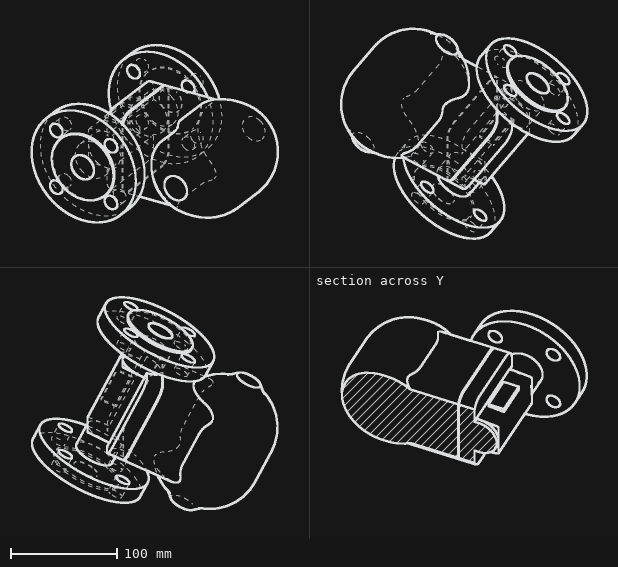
import cadquery as cq
import math

face_to_face = 160.0
pipe_diameter = 38.0
flange_diameter = 115.0
flange_thickness = 16.0
raised_face_diameter = 68.0
raised_face_height = 2.0
port_diameter = 25.0
port_depth = 0.5
bolt_circle_diameter = 85.0
bolt_hole_diameter = 14.0
bolt_count = 4

block_width = 75.0
block_end_height = 35.0
block_root_height = 39.0
block_edge_radius = 2.0

pad_length = 16.0
pad_width = 34.0
pad_center_x = -7.0
pad_top_z = 21.5

neck_start_x = 4.0
neck_size = 85.0
neck_corner_radius = 12.5
joint_x = 20.5
joint_width = 0.5
joint_depth = 1.0

housing_center_x = 97.0
housing_radius = 48.5
housing_straight_length = 35.0
housing_band_width = 5.0

boss_span = 141.5
boss_tip_diameter = 25.0
boss_half_angle = 45.0
boss_height = 20.0

block_end_x = -pipe_diameter / 2
flange_face_y = face_to_face / 2 - raised_face_height
flange_back_y = flange_face_y - flange_thickness
neck_end_x = housing_center_x - housing_band_width / 2
housing_end_y = housing_straight_length / 2 + housing_radius


def cylinder_along_y(diameter, start_y, length, x=0.0, z=0.0):
    """Cylinder parallel to Y, growing from start_y towards +Y."""
    plane = cq.Plane(origin=(x, start_y, z), xDir=(1, 0, 0), normal=(0, 1, 0))
    return cq.Workplane(plane).circle(diameter / 2).extrude(length)


def square_bar_along_x(start_x, end_x, size, corner_radius):
    """Square bar along X with rounded long edges."""
    bar = cq.Workplane("YZ", origin=(start_x, 0, 0)).rect(size, size).extrude(end_x - start_x)
    return bar.edges("|X").fillet(corner_radius)


def mirrored_pair(shape):
    """The shape together with its mirror image across the XZ plane."""
    return shape.union(shape.mirror("XZ"))


def make_flange():
    """Flange on the +Y side with raised face, shallow port and bolt holes."""
    flange = cylinder_along_y(flange_diameter, flange_back_y, flange_thickness)
    flange = flange.union(cylinder_along_y(raised_face_diameter, flange_face_y, raised_face_height))
    flange = flange.cut(cylinder_along_y(port_diameter, face_to_face / 2 - port_depth, port_depth))
    for index in range(bolt_count):
        angle = 2 * math.pi * (index + 0.5) / bolt_count
        hole_x = bolt_circle_diameter / 2 * math.cos(angle)
        hole_z = bolt_circle_diameter / 2 * math.sin(angle)
        hole = cylinder_along_y(bolt_hole_diameter, flange_back_y, flange_thickness, hole_x, hole_z)
        flange = flange.cut(hole)
    return flange


def make_pipe():
    """Straight pipe between the backs of the two flanges."""
    return cylinder_along_y(pipe_diameter, -flange_back_y, 2 * flange_back_y)


def make_block():
    """Block whose top and bottom spread slightly from the free end to the neck."""
    profile = [
        (block_end_x, -block_end_height / 2),
        (neck_start_x, -block_root_height / 2),
        (neck_start_x, block_root_height / 2),
        (block_end_x, block_end_height / 2),
    ]
    block = cq.Workplane("XZ").polyline(profile).close().extrude(block_width / 2, both=True)
    return block.faces("<X").edges("|Y").fillet(block_edge_radius)


def make_pad():
    """Flat rectangular pad, rooted at the pipe axis and standing out of the block's top."""
    pad = cq.Workplane("XY").center(pad_center_x, 0).rect(pad_length, pad_width)
    return pad.extrude(pad_top_z)


def make_neck():
    """Square neck with a narrow joint groove around it."""
    neck = square_bar_along_x(neck_start_x, neck_end_x, neck_size, neck_corner_radius)
    joint_end_x = joint_x + joint_width
    joint_outer = square_bar_along_x(joint_x, joint_end_x, neck_size, neck_corner_radius)
    joint_core = square_bar_along_x(
        joint_x, joint_end_x, neck_size - 2 * joint_depth, neck_corner_radius - joint_depth
    )
    return neck.cut(joint_outer.cut(joint_core))


def make_half_capsule(side):
    """Half of a domed capsule along Y, lying on the -X (side=-1) or +X (side=1) of the band."""
    straight_half = housing_straight_length / 2
    upper_outline = (
        cq.Workplane("YZ", origin=(housing_center_x + side * housing_band_width / 2, 0, 0))
        .moveTo(-housing_end_y, 0)
        .radiusArc((-straight_half, housing_radius), housing_radius)
        .lineTo(straight_half, housing_radius)
        .radiusArc((housing_end_y, 0), housing_radius)
        .close()
    )
    return upper_outline.revolve(180, (0, 0, 0), (side, 0, 0))


def make_housing_band():
    """Straight stretch between the two capsule halves, with the same stadium-shaped section."""
    band = cq.Workplane("YZ", origin=(neck_end_x, 0, 0))
    band = band.slot2D(2 * housing_end_y, 2 * housing_radius)
    return band.extrude(housing_band_width)


def make_boss():
    """Truncated cone on the +Y end of the housing, widening towards the housing."""
    tip_radius = boss_tip_diameter / 2
    base_radius = tip_radius + boss_height * math.tan(math.radians(boss_half_angle))
    cone = cq.Solid.makeCone(
        tip_radius, base_radius, boss_height,
        pnt=cq.Vector(housing_center_x, boss_span / 2, 0), dir=cq.Vector(0, -1, 0),
    )
    return cq.Workplane(obj=cone)


result = (
    make_pipe()
    .union(mirrored_pair(make_flange()))
    .union(make_block())
    .union(make_pad())
    .union(make_neck())
    .union(make_housing_band())
    .union(make_half_capsule(-1))
    .union(make_half_capsule(1))
    .union(mirrored_pair(make_boss()))
)